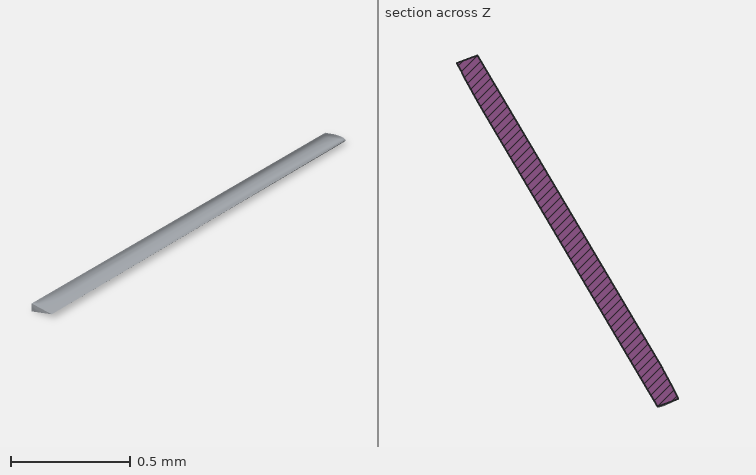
import cadquery as cq

width = 0.107
length = 2.0
front_height = 0.0374
tip_height = 0.002
back_half_height = 0.011
tip_fullness = 0.55 * width

swell_x = 0.15 * width
swell_y = 0.1 * length
top_swell = 0.0155
bottom_swell = 0.014

left_x = -width / 2
right_x = width / 2
front_y = -length / 2
back_y = length / 2

control_height = back_half_height / 0.75

front_tip = cq.Vector(right_x, front_y, tip_height)
back_tip = cq.Vector(left_x, back_y, tip_height)
back_nose = cq.Vector(right_x, back_y, 0)


def front_corner(side):
    """Left corner of the front triangle: side is +1 for top, -1 for bottom."""
    return cq.Vector(left_x, front_y, side * front_height / 2)


def front_edge(side):
    """Straight flank of the front triangle, from its left corner to the tip."""
    return cq.Edge.makeLine(front_corner(side), front_tip)


def back_edge(side):
    """Curved flank of the back teardrop, from the sharp tip to the round nose."""
    tip_control = cq.Vector(left_x + tip_fullness, back_y, side * control_height)
    nose_control = cq.Vector(right_x, back_y, side * control_height)
    return cq.Edge.makeBezier([back_tip, tip_control, nose_control, back_nose])


def left_rail(side):
    """Straight edge from a left front corner to the back tip."""
    return cq.Edge.makeLine(front_corner(side), back_tip)


def flank(side, swell):
    """Twisted long face, from the front triangle to the back teardrop."""
    right_rail = cq.Edge.makeLine(front_tip, back_nose)
    boundary = [front_edge(side), right_rail, back_edge(side), left_rail(side)]
    return cq.Face.makeNSidedSurface(boundary, [cq.Vector(swell_x, swell_y, side * swell)])


def flat_face(*edges):
    """Planar face bounded by the given edges."""
    return cq.Face.makeFromWires(cq.Wire.assembleEdges(edges))


front_left_edge = cq.Edge.makeLine(front_corner(1), front_corner(-1))
faces = [
    flank(1, top_swell),
    flank(-1, bottom_swell),
    flat_face(front_left_edge, front_edge(-1), front_edge(1)),
    flat_face(back_edge(1), back_edge(-1)),
    flat_face(left_rail(1), front_left_edge, left_rail(-1)),
]
blade = cq.Solid.makeSolid(cq.Shell.makeShell(faces)).fix()
result = cq.Workplane(obj=blade)